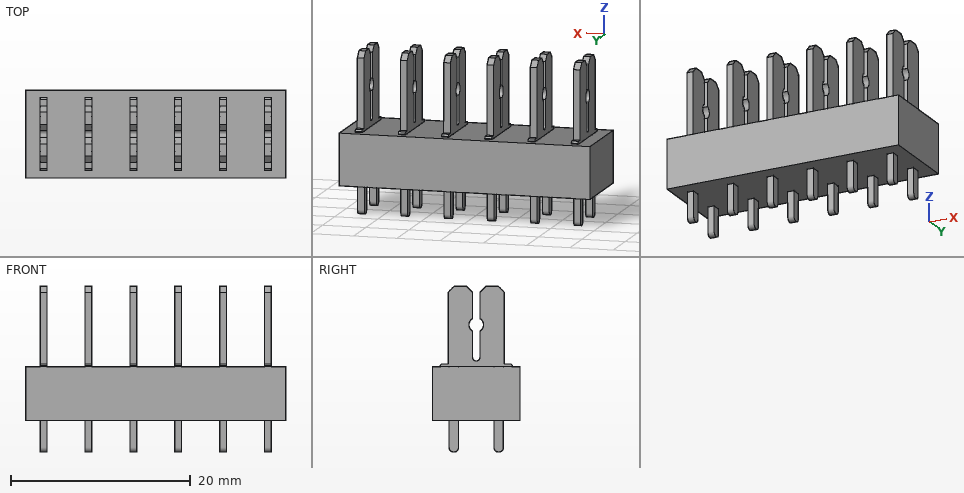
import cadquery as cq

overall_height = 18.5

housing_length = 29.0
housing_width = 9.8
housing_height = 6.0

contact_count = 6
contact_thickness = 0.78
row_end_margin = 2.0
contact_pitch = (housing_length - 2 * row_end_margin) / (contact_count - 1)

blade_width = 6.3
blade_height = 9.0
prong_chamfer = 0.7
slot_width = 0.78
slot_floor_height = 0.65
eye_diameter = 1.6
eye_height = 4.67

foot_width = 8.12
foot_height = 0.32
foot_top_bevel = 0.2
foot_bottom_bevel = foot_height - foot_top_bevel

leg_width = 1.07
leg_spacing = contact_pitch
leg_protrusion = overall_height - housing_height - blade_height
leg_tip_radius = 0.5


def box_on(width, thickness, height, y, z_bottom):
    """Upright block centred on X = 0 and on the given Y."""
    return cq.Workplane("XY", origin=(0, y, z_bottom)).box(
        thickness, width, height, centered=(True, True, False)
    )


def make_prong_slot():
    """Open slot with a round floor and a wider round eye part way up."""
    slot_radius = slot_width / 2
    floor_centre = housing_height + slot_floor_height + slot_radius
    slot = box_on(slot_width, contact_thickness, blade_height, 0, floor_centre)
    rounds = ((floor_centre, slot_radius), (housing_height + eye_height, eye_diameter / 2))
    for z, radius in rounds:
        disc = (
            cq.Workplane("YZ", origin=(-contact_thickness / 2, 0, z))
            .circle(radius)
            .extrude(contact_thickness)
        )
        slot = slot.union(disc)
    return slot


def make_blade():
    """Two chamfered prongs joined below the slot."""
    prong_width = (blade_width - slot_width) / 2
    prong_offset = (slot_width + prong_width) / 2
    web_height = slot_floor_height + slot_width
    blade = box_on(slot_width, contact_thickness, web_height, 0, housing_height)
    for side in (-1, 1):
        prong = (
            box_on(prong_width, contact_thickness, blade_height, side * prong_offset, housing_height)
            .faces(">Z")
            .edges("|X")
            .chamfer(prong_chamfer)
        )
        blade = blade.union(prong)
    return blade.cut(make_prong_slot())


def make_foot():
    """Low bar on the housing, bevelled above and below at both ends."""
    half_width = foot_width / 2
    top = housing_height + foot_height
    right_end = [
        (half_width - foot_bottom_bevel, housing_height),
        (half_width, housing_height + foot_bottom_bevel),
        (half_width - foot_top_bevel, top),
    ]
    left_end = [(-y, z) for y, z in reversed(right_end)]
    return (
        cq.Workplane("YZ", origin=(-contact_thickness / 2, 0, 0))
        .polyline(right_end + left_end)
        .close()
        .extrude(contact_thickness)
    )


def make_leg(side):
    """Straight leg with a rounded tip, from the foot down through the housing."""
    leg_length = leg_protrusion + housing_height
    return (
        box_on(leg_width, contact_thickness, leg_length, side * leg_spacing / 2, -leg_protrusion)
        .faces("<Z")
        .edges("|X")
        .fillet(leg_tip_radius)
    )


def make_contact(x):
    """One contact: blade, foot and both legs in a single piece."""
    contact = make_blade().union(make_foot())
    for side in (-1, 1):
        contact = contact.union(make_leg(side))
    return contact.translate((x, 0, 0))


def make_housing(contacts):
    """Plain block with a matching hole for every contact leg."""
    housing = box_on(housing_width, housing_length, housing_height, 0, 0)
    for contact in contacts:
        housing = housing.cut(contact)
    return housing


first_contact_x = row_end_margin - housing_length / 2
contacts = [make_contact(first_contact_x + i * contact_pitch) for i in range(contact_count)]
housing = make_housing(contacts)

result = cq.Compound.makeCompound([housing.val(), *[contact.val() for contact in contacts]])